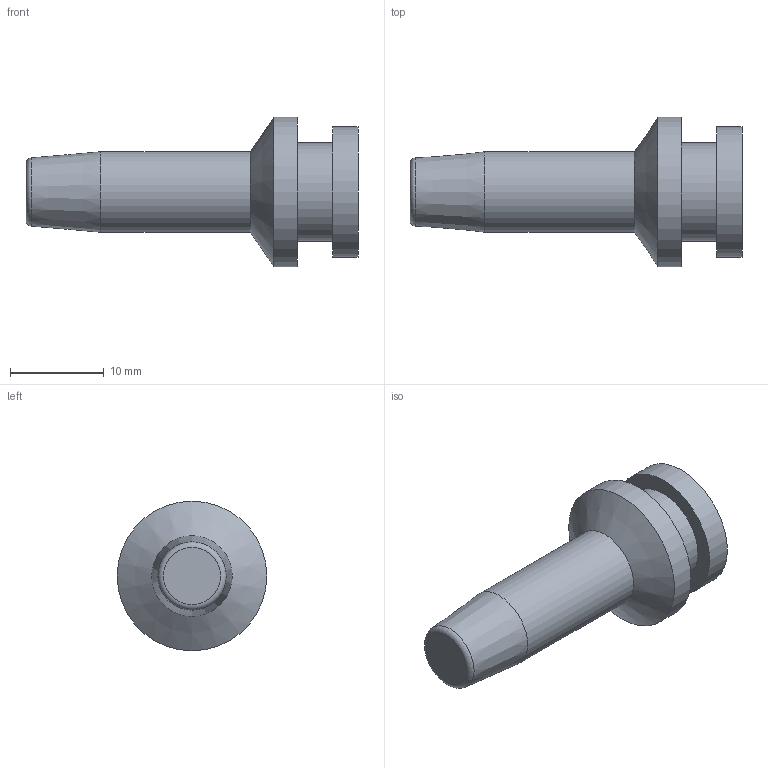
import cadquery as cq
import math

TAPER_END = 8.0
CONE_START = 24.0
FLANGE_START = 26.5
FLANGE_END = 29.0
HEAD_START = 32.8
TOTAL_LENGTH = 35.5

SHAFT_DIAMETER = 8.6
FLANGE_DIAMETER = 16.0
GROOVE_DIAMETER = 10.5
HEAD_DIAMETER = 14.0

TAPER_ANGLE = 5.0
TIP_FILLET = 0.6

shaft_radius = SHAFT_DIAMETER / 2
flange_radius = FLANGE_DIAMETER / 2
groove_radius = GROOVE_DIAMETER / 2
head_radius = HEAD_DIAMETER / 2
tip_radius = shaft_radius - TAPER_END * math.tan(math.radians(TAPER_ANGLE))


def turned_body():
    """Revolve the half profile (X along the axis, Z as radius) about the X axis."""
    profile = (
        cq.Workplane("XZ")
        .moveTo(0, 0)
        .lineTo(0, tip_radius)
        .lineTo(TAPER_END, shaft_radius)
        .lineTo(CONE_START, shaft_radius)
        .lineTo(FLANGE_START, flange_radius)
        .lineTo(FLANGE_END, flange_radius)
        .lineTo(FLANGE_END, groove_radius)
        .lineTo(HEAD_START, groove_radius)
        .lineTo(HEAD_START, head_radius)
        .lineTo(TOTAL_LENGTH, head_radius)
        .lineTo(TOTAL_LENGTH, 0)
        .close()
    )
    return profile.revolve(360, (0, 0, 0), (1, 0, 0))


def round_tip(body):
    """Round the outer edge of the flat tip face."""
    return body.faces("<X").edges().fillet(TIP_FILLET)


result = round_tip(turned_body())